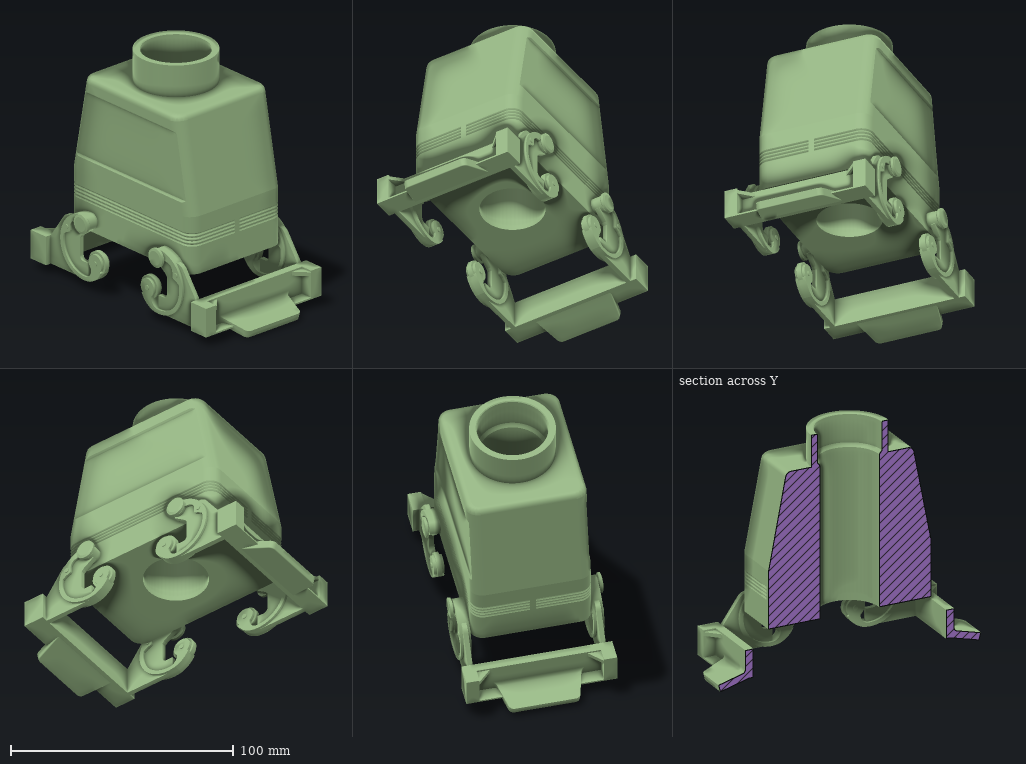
import cadquery as cq
import math


clearance = 1.3
tolerance = 0.1

hood_half_width = 41.3
hood_half_depth = 28.0
hood_bottom = 22.1
hood_break = 50.5
hood_top = 97.3
flank_angle = 11.0
corner_radius = 6.0
top_radius = 3.0

panel_depth = 0.8
panel_bottom = 57.5
panel_top = 88.8
panel_wall_run = 1.0

groove_count = 4
groove_first = 36.5
groove_pitch = 1.7
groove_height = 1.3
groove_depth = 0.5
groove_gap = 2.7

collar_top = 112.8
collar_radius = 19.5
socket_radius = 16.2
socket_chamfer = 0.4
bore_radius = 14.9
seat_bottom = 96.9
seat_top = 98.6

bar_outer = 59.1
bar_inner = 48.8
bar_half_length = 34.9
bar_height = 14.1
bar_pocket_depth = 6.1
bar_pocket_half_length = 28.7
bar_wall_x = bar_pocket_depth - bar_outer
bar_floor = 0.8
gusset_top = 13.3
gusset_thickness = 1.9

tab_reach = 66.5
tab_tilt = 15.0
tab_root_height = 3.3
tab_thickness = 3.7
tab_root_half_length = 19.7
tab_tip_half_length = 16.1
tab_embed = 2.0
tab_corner_radius = 2.7
tab_root_fillet = 1.7
tab_underside_fillet = 0.4

hook_x = -25.2
hook_radius = 16.0
hook_z = hook_radius
rim_inner_radius = 14.0
lever_y = 30.7
plate_thickness = 2.3
rim_thickness = 1.3
pin_offset = 12.1
boss_radius = hook_radius - pin_offset
roller_centre = (7.6, -5.5)
roller_radius = 5.6
washer_radius = 4.4
screw_centre = (-11.6, 6.7)
screw_radius = 1.2
screw_height = 0.4
arm_corner_radius = 4.7

pin_stem_radius = 2.8
pin_head_radius = 4.7
pin_face_radius = 3.5
pin_head_start = 33.9
pin_head_edge = 35.1
pin_end = 35.5
pin_embed = 1.3


def make_hood():
    top_half_width = hood_half_width - (hood_top - hood_break) * math.tan(math.radians(flank_angle))
    outline = [
        (-hood_half_width, hood_bottom),
        (hood_half_width, hood_bottom),
        (hood_half_width, hood_break),
        (top_half_width, hood_top),
        (-top_half_width, hood_top),
        (-hood_half_width, hood_break),
    ]
    hood = cq.Workplane("XZ").polyline(outline).close().extrude(hood_half_depth, both=True)
    hood = hood.edges("(not #Z) and (not |Y)").fillet(corner_radius)
    return hood.faces(">Z").edges().fillet(top_radius)


def panel_cutter():
    """Full-width slab with sloping upper and lower walls, for the panel on the -Y face."""
    floor_y = -hood_half_depth + panel_depth
    section = [
        (floor_y, panel_bottom),
        (floor_y, panel_top),
        (-hood_half_depth, panel_top + panel_wall_run),
        (-hood_half_depth - clearance, panel_top + panel_wall_run),
        (-hood_half_depth - clearance, panel_bottom - panel_wall_run),
        (-hood_half_depth, panel_bottom - panel_wall_run),
    ]
    return cq.Workplane("YZ").polyline(section).close().extrude(hood_half_width, both=True)


def groove_cutter(z):
    """V-shaped ring around the hood, interrupted at the middle of both end faces."""
    width = 2 * hood_half_width
    depth = 2 * hood_half_depth
    wall_angle = math.degrees(math.atan(groove_depth / (groove_height / 2)))
    outline = cq.Sketch().rect(width, depth).vertices().fillet(corner_radius)
    outside = cq.Workplane("XY").box(width + 2 * clearance, depth + 2 * clearance, groove_height)
    core_half = (
        cq.Workplane("XY").workplane(offset=-groove_height / 2)
        .placeSketch(outline).extrude(groove_height / 2, taper=wall_angle)
    )
    core = core_half.union(core_half.mirror("XY"))
    bridge = cq.Workplane("XY").box(width + 2 * clearance, groove_gap, groove_height)
    return outside.cut(core).cut(bridge).translate((0, 0, z))


def bore_cutter():
    section = [
        (0, hood_bottom),
        (bore_radius, hood_bottom),
        (bore_radius, seat_bottom),
        (socket_radius, seat_top),
        (socket_radius, collar_top - socket_chamfer),
        (socket_radius + socket_chamfer, collar_top),
        (0, collar_top),
    ]
    return cq.Workplane("XZ").polyline(section).close().revolve(360, (0, 0, 0), (0, 1, 0))


def make_gusset():
    """Triangular web in the -Y corner of the crossbar pocket."""
    corner_y = -bar_pocket_half_length
    outline = [
        (bar_wall_x, corner_y),
        (-bar_outer, corner_y),
        (bar_wall_x, corner_y + bar_pocket_depth),
    ]
    web = cq.Workplane("XY").workplane(offset=gusset_top - gusset_thickness)
    return web.polyline(outline).close().extrude(gusset_thickness)


def make_tab():
    """Tilted finger tab, drawn on its upper face with local X pointing outward."""
    tilt = math.radians(tab_tilt)
    length = (tab_reach + bar_wall_x) / math.cos(tilt)
    flare = (tab_root_half_length - tab_tip_half_length) / length
    inner_half_length = tab_root_half_length + flare * tab_embed
    upper_face = cq.Plane(
        origin=(bar_wall_x, 0, tab_root_height),
        xDir=(-math.cos(tilt), 0, -math.sin(tilt)),
        normal=(-math.sin(tilt), 0, math.cos(tilt)),
    )
    outline = [
        (-tab_embed, -inner_half_length),
        (length, -tab_tip_half_length),
        (length, tab_tip_half_length),
        (-tab_embed, inner_half_length),
    ]
    tab = cq.Workplane(upper_face).polyline(outline).close().extrude(-tab_thickness)
    tab = tab.faces("<X").edges("not |Y").fillet(tab_corner_radius)
    underside = tab.faces(cq.selectors.DirectionMinMaxSelector(upper_face.zDir, directionMax=False))
    return underside.edges("not >X").fillet(tab_underside_fillet)


def bar_block(width, half_length, height):
    """Block standing on Z = 0 and reaching inward from the outer face of the crossbar."""
    block = cq.Workplane("XY").box(width, 2 * half_length, height, centered=(False, True, False))
    return block.translate((-bar_outer, 0, 0))


def make_crossbar():
    bar = bar_block(bar_outer - bar_inner, bar_half_length, bar_height)
    bar = bar.cut(bar_block(bar_pocket_depth, bar_pocket_half_length, bar_height))
    bar = bar.union(make_tab())
    tab_root = cq.selectors.BoxSelector(
        (bar_wall_x - tolerance, -bar_pocket_half_length + clearance, tolerance),
        (bar_wall_x + tolerance, bar_pocket_half_length - clearance, tab_root_height + tolerance),
    )
    bar = bar.edges(tab_root).fillet(tab_root_fillet)
    bar = bar.union(bar_block(bar_pocket_depth, bar_pocket_half_length, bar_floor))
    gusset = make_gusset()
    return bar.union(gusset).union(gusset.mirror("XZ"))


def lever_layer(thickness):
    """Workplane about the hook centre; extruding by -thickness spans lever_y symmetrically."""
    start_y = -lever_y - thickness / 2
    return cq.Workplane(cq.Plane((hook_x, start_y, hook_z), (1, 0, 0), (0, -1, 0)))


def lever_disc(centre, radius, thickness):
    return lever_layer(thickness).center(*centre).circle(radius).extrude(-thickness)


def hook_strap(thickness):
    """Curved strap from the pin boss round the back of the hook to the roller."""
    diagonal = rim_inner_radius * math.sqrt(0.5)
    tail_x = 4.0
    tail_start = (tail_x, -math.sqrt(hook_radius**2 - tail_x**2))
    inner_x = 0.8
    inner_start = (inner_x, -math.sqrt(rim_inner_radius**2 - inner_x**2))
    inner_z = 2.5
    inner_end = (-math.sqrt(rim_inner_radius**2 - inner_z**2), inner_z)
    strap = (
        lever_layer(thickness)
        .moveTo(0, hook_radius)
        .threePointArc((-hook_radius, 0), tail_start)
        .threePointArc((8.1, -13.2), (11.3, -9.2))
        .lineTo(*roller_centre)
        .lineTo(4.9, -8.6)
        .threePointArc((4.5, -11.5), inner_start)
        .threePointArc((-diagonal, -diagonal), inner_end)
        .lineTo(-11.8, 3.9)
        .lineTo(-9.8, 4.7)
        .threePointArc((-9.5, 5.0), (-9.3, 5.6))
        .lineTo(-9.3, 7.6)
        .threePointArc((-8.4, 10.0), (-6.0, 11.2))
        .lineTo(0, pin_offset)
        .close()
        .extrude(-thickness)
    )
    boss = lever_disc((0, pin_offset), boss_radius, thickness)
    washer = lever_disc(roller_centre, washer_radius, thickness)
    return strap.union(boss).union(washer)


def lever_plate():
    """Thin plate joining the crossbar to the pin, with a jaw notch on its inner side."""
    bar_x = -bar_inner - hook_x
    arm_corner = (-13.7, pin_offset)
    plate = (
        lever_layer(plate_thickness)
        .moveTo(bar_x, -hook_z)
        .lineTo(bar_x, bar_height - hook_z)
        .lineTo(*arm_corner)
        .lineTo(0, pin_offset)
        .lineTo(2.5, 8.5)
        .lineTo(-3.2, 4.5)
        .lineTo(-4.1, 3.3)
        .lineTo(-4.1, -5.5)
        .threePointArc((-3.6, -6.9), (-2.1, -7.6))
        .lineTo(1.5, -7.6)
        .lineTo(1.5, -14.1)
        .lineTo(0, -hook_z)
        .close()
        .extrude(-plate_thickness)
    )
    arm_edge = cq.selectors.NearestToPointSelector(
        (hook_x + arm_corner[0], -lever_y, hook_z + arm_corner[1])
    )
    plate = plate.edges("|Y").edges(arm_edge).fillet(arm_corner_radius)
    return plate.union(lever_disc(roller_centre, roller_radius, plate_thickness))


def make_pin():
    section = [
        (0, hood_half_depth - pin_embed),
        (pin_stem_radius, hood_half_depth - pin_embed),
        (pin_stem_radius, pin_head_start),
        (pin_head_radius, pin_head_start),
        (pin_head_radius, pin_head_edge),
        (pin_face_radius, pin_end),
        (0, pin_end),
    ]
    pin = cq.Workplane("XY").polyline(section).close().revolve(360, (0, 0, 0), (0, 1, 0))
    return pin.mirror("XZ").translate((hook_x, 0, hook_z + pin_offset))


def make_lever():
    full_thickness = plate_thickness + 2 * rim_thickness
    screw_length = full_thickness + 2 * screw_height
    lever = lever_plate().union(hook_strap(full_thickness)).union(make_pin())
    for centre in (screw_centre, roller_centre):
        lever = lever.union(lever_disc(centre, screw_radius, screw_length))
    return lever


hood = make_hood()
panel = panel_cutter()
hood = hood.cut(panel).cut(panel.mirror("XZ"))
for index in range(groove_count):
    hood = hood.cut(groove_cutter(groove_first + index * groove_pitch))
collar = cq.Workplane("XY").workplane(offset=hood_top).circle(collar_radius)
hood = hood.union(collar.extrude(collar_top - hood_top))
hood = hood.cut(bore_cutter())

lever = make_lever()
bail = make_crossbar().union(lever).union(lever.mirror("XZ"))
result = hood.union(bail).union(bail.mirror("YZ"))